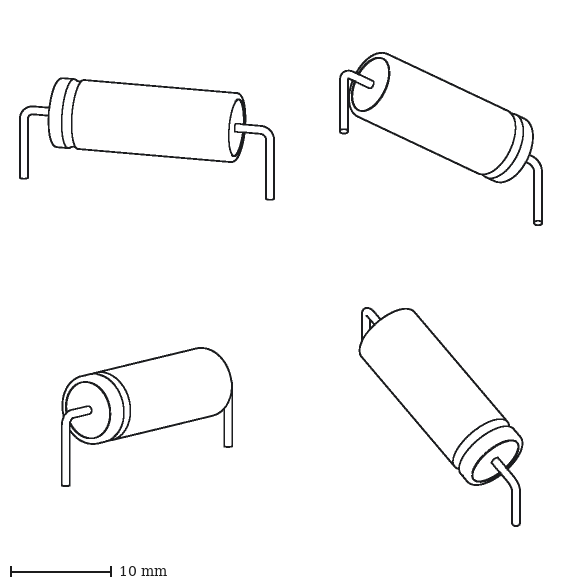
import cadquery as cq
import math

overall_length = 26.2
can_length = 18.5
can_radius = 3.445
can_edge_radius = 0.31

groove_offset = 1.45
groove_width = 1.02
groove_depth = 0.18

disc_radius = 2.83
disc_thickness = 0.25
disc_recess = 0.1

lead_diameter = 0.8
lead_bend_radius = 0.97
lead_drop = 7.06

lead_radius = lead_diameter / 2
can_end = can_length / 2
disc_outer_face = can_end - disc_recess
disc_inner_face = disc_outer_face - disc_thickness
lead_leg_x = overall_length / 2 - lead_radius

END_DIRECTIONS = (-1, 1)


def x_cylinder(radius, start, end):
    """Solid cylinder on the can axis between two X positions."""
    return cq.Workplane("YZ", origin=(start, 0, 0)).circle(radius).extrude(end - start)


def make_can():
    """Round-edged can with a rolled groove and a disc seat in each end."""
    groove_start = groove_offset - can_end
    groove_end = groove_start + groove_width
    groove_middle = (groove_start + groove_end) / 2
    shoulder = can_end - can_edge_radius
    face_radius = can_radius - can_edge_radius
    corner_inset = can_edge_radius * (1 - math.sqrt(0.5))
    corner_x = can_end - corner_inset
    corner_radius = can_radius - corner_inset

    profile = (
        cq.Workplane("XZ")
        .moveTo(-can_end, 0)
        .lineTo(-can_end, face_radius)
        .threePointArc((-corner_x, corner_radius), (-shoulder, can_radius))
        .lineTo(groove_start, can_radius)
        .threePointArc((groove_middle, can_radius - groove_depth), (groove_end, can_radius))
        .lineTo(shoulder, can_radius)
        .threePointArc((corner_x, corner_radius), (can_end, face_radius))
        .lineTo(can_end, 0)
        .close()
    )
    can = profile.revolve(360, (0, 0, 0), (1, 0, 0))
    for direction in END_DIRECTIONS:
        can = can.cut(x_cylinder(disc_radius, direction * disc_inner_face, direction * can_end))
    return can


def make_end_disc(direction):
    """Disc closing one end of the can, with a through hole for the lead."""
    inner = direction * disc_inner_face
    outer = direction * disc_outer_face
    return x_cylinder(disc_radius, inner, outer).cut(x_cylinder(lead_radius, inner, outer))


def make_lead(direction):
    """Round wire leaving one end of the can and bending down towards -Z."""
    bend_start = lead_leg_x - lead_bend_radius
    bend_middle_x = bend_start + lead_bend_radius * math.sqrt(0.5)
    bend_middle_z = -lead_bend_radius * (1 - math.sqrt(0.5))
    path = (
        cq.Workplane("XZ")
        .moveTo(direction * disc_inner_face, 0)
        .lineTo(direction * bend_start, 0)
        .threePointArc(
            (direction * bend_middle_x, bend_middle_z),
            (direction * lead_leg_x, -lead_bend_radius),
        )
        .lineTo(direction * lead_leg_x, -lead_drop)
    )
    section = cq.Workplane("YZ", origin=(direction * disc_inner_face, 0, 0)).circle(lead_radius)
    return section.sweep(path)


can = make_can()
end_discs = [make_end_disc(direction) for direction in END_DIRECTIONS]
leads = [make_lead(direction) for direction in END_DIRECTIONS]

result = cq.Compound.makeCompound(
    [
        can.val(),
        *[disc.val() for disc in end_discs],
        *[lead.val() for lead in leads],
    ]
)